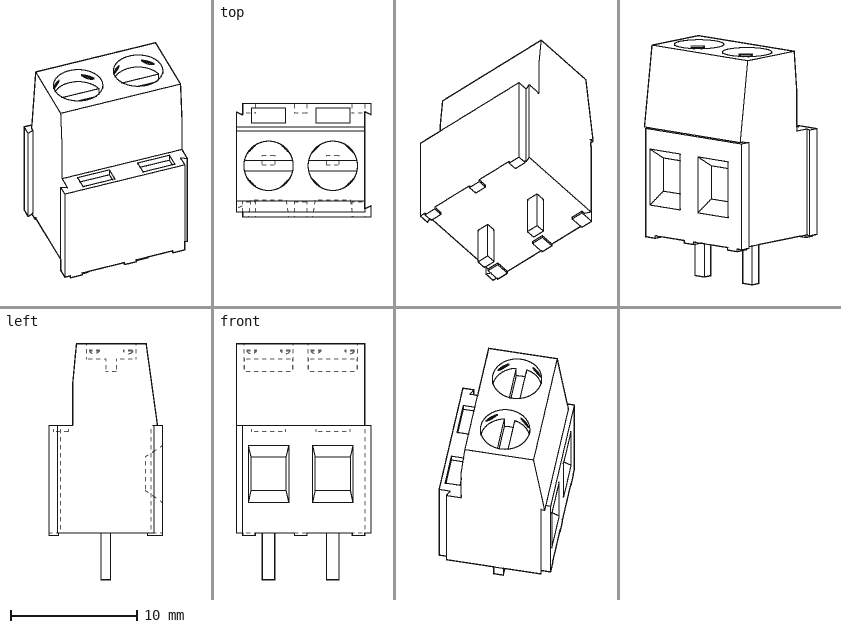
import cadquery as cq


pole_count = 2
pitch = 5.09
body_width = pole_count * pitch
overall_width = 10.65
body_depth = 9.0
total_height = 18.7
body_bottom = 3.7
shoulder_height = 12.23
pole_centers = [(index + 0.5) * pitch for index in range(pole_count)]

lock_width = overall_width - body_width
lock_outer_depth = 0.67
lock_inner_depth = 0.9

tower_front_bottom = 0.4
tower_front_top = 1.29
tower_back_bottom = 7.12
tower_back_top = 6.83
tower_back_taper_start = 15.52

screw_center_y = 4.05
well_diameter = 3.9
well_depth = 1.23
slot_width = 0.85
slot_depth = 1.0

nub_count = 4
nub_top_drop = 0.5
nub_height = 0.3
nub_land = 0.1
nub_reach = 0.07
nub_width = 1.12
nub_root = 0.19

entry_width = 3.2
entry_bottom = 6.11
entry_top = 10.62
entry_inner_width = 2.79
entry_inner_bottom = 7.07
entry_inner_top = 9.75
entry_depth = 1.37

pocket_width = 2.7
pocket_front = 7.45
pocket_back = 8.64
pocket_depth = 0.5

pin_width = 1.01
pin_thickness = 0.79
foot_width = 1.01
foot_height = 0.2
front_foot_depth = 1.2
back_foot_depth = 0.77


def block(x_range, y_range, z_range):
    """Axis-aligned box between the given limits."""
    size = [high - low for low, high in (x_range, y_range, z_range)]
    origin = (x_range[0], y_range[0], z_range[0])
    return cq.Workplane("XY").box(*size, centered=False).translate(origin)


def centered_range(center, width):
    return (center - width / 2, center + width / 2)


def make_base():
    """Lower housing: lips on the right fit the matching notches on the left."""
    outline = [
        (lock_width, 0),
        (overall_width, 0),
        (overall_width, lock_inner_depth),
        (body_width, lock_outer_depth),
        (body_width, body_depth - lock_outer_depth),
        (overall_width, body_depth - lock_inner_depth),
        (overall_width, body_depth),
        (lock_width, body_depth),
        (lock_width, body_depth - lock_inner_depth),
        (0, body_depth - lock_outer_depth),
        (0, lock_outer_depth),
        (lock_width, lock_inner_depth),
    ]
    base = cq.Workplane("XY").workplane(offset=body_bottom).polyline(outline).close()
    return base.extrude(shoulder_height - body_bottom)


def make_tower():
    profile = [
        (tower_front_bottom, shoulder_height),
        (tower_back_bottom, shoulder_height),
        (tower_back_bottom, tower_back_taper_start),
        (tower_back_top, total_height),
        (tower_front_top, total_height),
    ]
    return cq.Workplane("YZ").polyline(profile).close().extrude(body_width)


def make_nub(center_x, angle):
    """Flat-topped nub: a short upright land, then an underside sloping back to the wall."""
    radius = well_diameter / 2
    top = total_height - nub_top_drop
    profile = [
        (radius - nub_reach, top - nub_land),
        (radius - nub_reach, top),
        (radius + nub_root, top),
        (radius + nub_root, top - nub_height),
        (radius, top - nub_height),
    ]
    nub = cq.Workplane("XZ").polyline(profile).close().extrude(nub_width / 2, both=True)
    return nub.rotate((0, 0, 0), (0, 0, 1), angle).translate((center_x, screw_center_y, 0))


def well_cylinder(center_x, bottom, top):
    disc = cq.Workplane("XY").center(center_x, screw_center_y).circle(well_diameter / 2)
    return disc.extrude(top - bottom).translate((0, 0, bottom))


def make_screw_well(center_x):
    """Round well with the slotted screw head as its floor."""
    floor = total_height - well_depth
    slot_floor = floor - slot_depth
    well = well_cylinder(center_x, floor, total_height)
    slot_bar = block(
        centered_range(center_x, well_diameter),
        centered_range(screw_center_y, slot_width),
        (slot_floor, floor),
    )
    slot = slot_bar.intersect(well_cylinder(center_x, slot_floor, floor))
    cutter = well.union(slot)
    for index in range(nub_count):
        angle = (index + 0.5) * 360 / nub_count
        cutter = cutter.cut(make_nub(center_x, angle))
    return cutter


def make_wire_entry(center_x):
    """Funnel that narrows from the front face to a flat inner wall."""
    outer_z = (entry_bottom + entry_top) / 2
    inner_z = (entry_inner_bottom + entry_inner_top) / 2
    return (
        cq.Workplane("XZ")
        .center(center_x, outer_z)
        .rect(entry_width, entry_top - entry_bottom)
        .workplane(offset=-entry_depth)
        .center(0, inner_z - outer_z)
        .rect(entry_inner_width, entry_inner_top - entry_inner_bottom)
        .loft(ruled=True)
    )


def make_marking_pocket(center_x):
    return block(
        centered_range(center_x, pocket_width),
        (pocket_front, pocket_back),
        (shoulder_height - pocket_depth, shoulder_height),
    )


def make_pin(center_x):
    return block(
        centered_range(center_x, pin_width),
        centered_range(body_depth / 2, pin_thickness),
        (0, body_bottom),
    )


def make_feet():
    """Three feet along the front edge and three along the back edge."""
    foot_centers = [
        lock_width + foot_width / 2,
        body_width / 2,
        body_width - foot_width / 2,
    ]
    foot_rows = [(0, front_foot_depth), (body_depth - back_foot_depth, body_depth)]
    feet = cq.Workplane("XY")
    for center_x in foot_centers:
        for row in foot_rows:
            foot_z = (body_bottom - foot_height, body_bottom)
            feet = feet.add(block(centered_range(center_x, foot_width), row, foot_z))
    return feet.combine()


result = make_base().union(make_tower()).union(make_feet())
for pole_x in pole_centers:
    result = result.union(make_pin(pole_x))
    result = result.cut(make_screw_well(pole_x))
    result = result.cut(make_wire_entry(pole_x))
    result = result.cut(make_marking_pocket(pole_x))